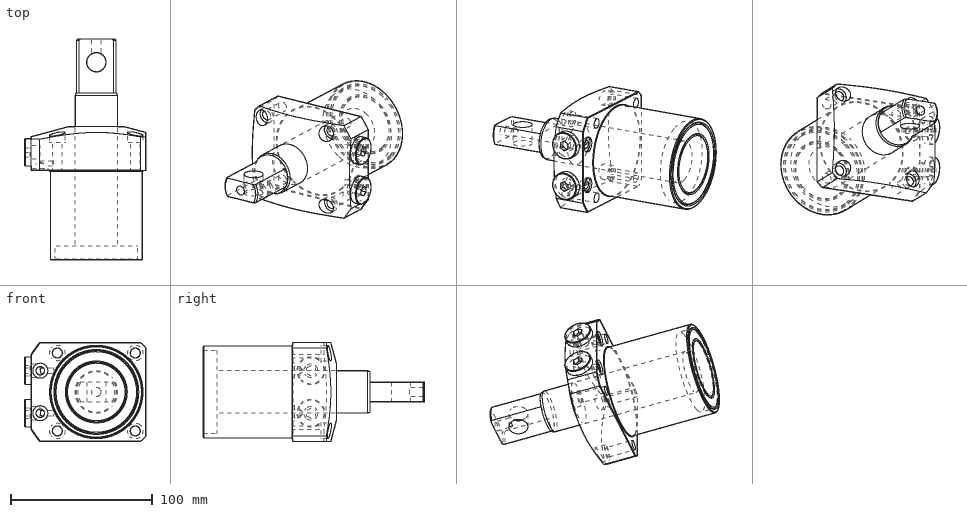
import cadquery as cq
import math


barrel_radius = 32.5
barrel_length = 63.0
barrel_chamfer = 0.6
collar_radius = 32.9
collar_length = 0.5

flange_height = 70.0
flange_right = 35.0
flange_left = -46.0
flange_thickness = 31.0
right_corner = 3.9
left_corner_width = 6.1
left_corner_height = 8.6
front_edge_chamfer = 0.5
crown_flat_radius = 20.0
crown_angle = 15

mount_hole_radius = 3.5
counterbore_radius = 5.5
counterbore_floor_y = 20.0
mount_hole_offset = 27.5

port_x = -39.5
port_height = 15.0
port_radius = 3.0
port_depth = 5.1
drill_point_angle = 118
seal_recess_radius = 5.3
seal_recess_depth = 1.4
passage_radius = 1.9
passage_length = 9.4

plug_y = 13.0
plug_head_diameter = 19.5
plug_head_height = 4.5
plug_head_chamfer = 0.5
plug_shank_radius = 4.8
plug_shank_length = 6.4
plug_hex_width = 6.2
plug_hex_depth = 3.7
hex_sides = 6
quarter_turn = 90

cap_radius = 29.2
cap_thickness = 10.0
cap_chamfer = 0.8
cap_groove_radius = 21.0
cap_groove_half_width = 0.8

rod_radius = 15.0
rod_tip = 93.0
shoulder_y = 54.8
shoulder_chamfer_length = 1.9
shoulder_chamfer_depth = 0.6
tongue_radius = 14
tongue_thickness = 13.9
tip_chamfer = 1.1
root_fillet = 0.3
pin_hole_radius = 6.7
pin_hole_y = 76.5
tip_hole_radius = 3.3

flange_half_height = flange_height / 2
cap_inner_y = cap_thickness - barrel_length
crown_slope = math.tan(math.radians(crown_angle))


def cylinder(radius, start, end):
    """Cylinder about the Y axis between two Y positions."""
    return cq.Workplane("XZ", origin=(0, start, 0)).circle(radius).extrude(start - end)


def revolve_about_rod_axis(points):
    """Solid turned about the Y axis from (radius, y) points."""
    return cq.Workplane("XY").polyline(points).close().revolve(360, (0, 0), (0, 1))


def make_flange():
    outline = [
        (flange_left + left_corner_width, flange_half_height),
        (flange_right - right_corner, flange_half_height),
        (flange_right, flange_half_height - right_corner),
        (flange_right, right_corner - flange_half_height),
        (flange_right - right_corner, -flange_half_height),
        (flange_left + left_corner_width, -flange_half_height),
        (flange_left, left_corner_height - flange_half_height),
        (flange_left, flange_half_height - left_corner_height),
    ]
    plate = cq.Workplane("XZ").polyline(outline).close().extrude(-flange_thickness)

    broken_edges = plate.faces("<Y").edges().filter(
        lambda edge: edge.Center().x < flange_right - right_corner
    )
    plate = broken_edges.chamfer(front_edge_chamfer)

    cone_reach = flange_height
    cone_base_y = flange_thickness - (cone_reach - crown_flat_radius) * crown_slope
    crown = revolve_about_rod_axis([
        (0, 0),
        (cone_reach, 0),
        (cone_reach, cone_base_y),
        (crown_flat_radius, flange_thickness),
        (0, flange_thickness),
    ])
    return plate.intersect(crown)


def make_barrel():
    barrel = cylinder(barrel_radius, -barrel_length, 0).faces("<Y").chamfer(barrel_chamfer)
    return barrel.union(cylinder(collar_radius, -collar_length, 0))


def make_mount_hole(x, z):
    """Cut for one mounting hole with its counterbore."""
    hole = cylinder(mount_hole_radius, 0, flange_thickness)
    counterbore = cylinder(counterbore_radius, counterbore_floor_y, flange_thickness)
    return hole.union(counterbore).translate((x, 0, z))


def make_front_port(z):
    """Cut for one front port: seal recess, drilled hole and passage toward the barrel."""
    point_depth = port_radius / math.tan(math.radians(drill_point_angle / 2))
    drilled = (
        cq.Workplane("XY")
        .polyline([(0, 0), (port_radius, 0), (port_radius, port_depth), (0, port_depth + point_depth)])
        .close()
        .revolve(360, (0, 0), (0, 1))
        .translate((port_x, 0, z))
    )
    recess = cylinder(seal_recess_radius, 0, seal_recess_depth).translate((port_x, 0, z))
    passage = (
        cq.Workplane("YZ", origin=(port_x, port_depth, z))
        .circle(passage_radius)
        .extrude(passage_length)
    )
    return drilled.union(recess).union(passage)


def make_plug_shank(z):
    return (
        cq.Workplane("YZ", origin=(flange_left, plug_y, z))
        .circle(plug_shank_radius)
        .extrude(plug_shank_length)
    )


def make_cap_seat():
    """Cut for the end cap, with a chamfered mouth."""
    seat = cylinder(cap_radius, -barrel_length, cap_inner_y)
    mouth = revolve_about_rod_axis([
        (0, -barrel_length),
        (cap_radius + cap_chamfer, -barrel_length),
        (cap_radius, cap_chamfer - barrel_length),
        (0, cap_chamfer - barrel_length),
    ])
    return seat.union(mouth)


def make_housing():
    housing = make_flange().union(make_barrel())
    for x in (-mount_hole_offset, mount_hole_offset):
        for z in (-mount_hole_offset, mount_hole_offset):
            housing = housing.cut(make_mount_hole(x, z))
    housing = housing.cut(make_cap_seat())
    housing = housing.cut(cylinder(rod_radius, cap_inner_y, flange_thickness))
    for z in (-port_height, port_height):
        housing = housing.cut(make_front_port(z))
        housing = housing.cut(make_plug_shank(z))
    return housing


def make_cap():
    cap = cylinder(cap_radius, -barrel_length, cap_inner_y).faces("<Y").chamfer(cap_chamfer)
    groove = revolve_about_rod_axis([
        (cap_groove_radius - cap_groove_half_width, -barrel_length),
        (cap_groove_radius + cap_groove_half_width, -barrel_length),
        (cap_groove_radius, cap_groove_half_width - barrel_length),
    ])
    return cap.cut(groove)


def make_rod():
    shaft = (
        cylinder(rod_radius, cap_inner_y, shoulder_y)
        .faces(">Y")
        .edges()
        .chamfer(shoulder_chamfer_length, shoulder_chamfer_depth)
    )
    tongue = cylinder(tongue_radius, shoulder_y, rod_tip).faces(">Y").chamfer(tip_chamfer)
    flats = cq.Workplane("XY").box(2 * tongue_radius, 2 * rod_tip, tongue_thickness)
    rod = shaft.union(tongue.intersect(flats))

    foot = cq.selectors.BoxSelector(
        (-tongue_radius, shoulder_y - root_fillet, -tongue_thickness),
        (tongue_radius, shoulder_y + root_fillet, tongue_thickness),
    )
    rod = rod.edges(foot).edges("%LINE").fillet(root_fillet)

    pin_hole = (
        cq.Workplane("XY", origin=(0, pin_hole_y, -tongue_thickness / 2))
        .circle(pin_hole_radius)
        .extrude(tongue_thickness)
    )
    return rod.cut(pin_hole).cut(cylinder(tip_hole_radius, pin_hole_y, rod_tip))


def make_plug(z):
    """Screw plug with a round head and a hexagon socket."""
    face_x = flange_left - plug_head_height
    head = (
        cq.Workplane("YZ", origin=(face_x, plug_y, z))
        .circle(plug_head_diameter / 2)
        .extrude(plug_head_height)
        .faces("<X")
        .chamfer(plug_head_chamfer)
    )
    hex_across_corners = plug_hex_width / math.cos(math.pi / hex_sides)
    socket = (
        cq.Workplane("YZ", origin=(face_x, plug_y, z))
        .transformed(rotate=(0, 0, quarter_turn))
        .polygon(hex_sides, hex_across_corners)
        .extrude(plug_hex_depth)
    )
    return head.union(make_plug_shank(z)).cut(socket)


housing = make_housing()
cap = make_cap()
rod = make_rod()
plugs = [make_plug(z) for z in (-port_height, port_height)]

result = cq.Compound.makeCompound([
    housing.val(),
    cap.val(),
    rod.val(),
    *[plug.val() for plug in plugs],
])